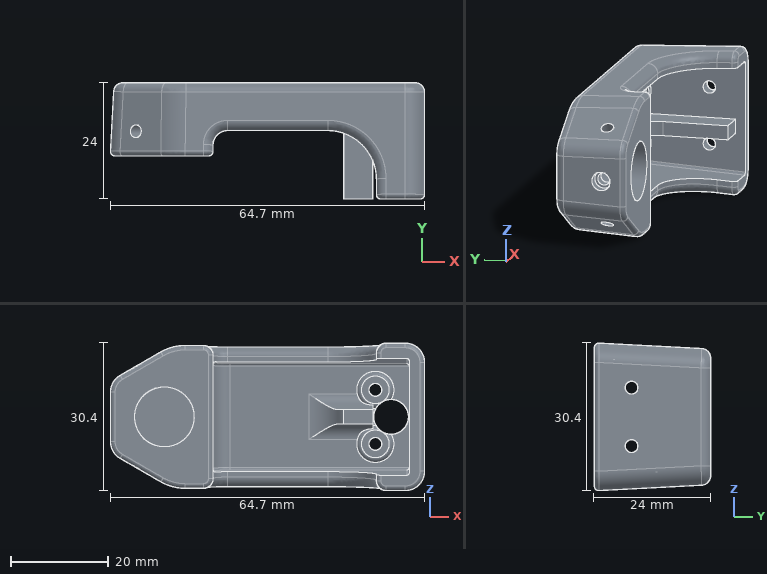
import cadquery as cq
import math

length = 64.7
depth = 24.0
height = 30.4
draft = 3.0
draft_slope = math.tan(math.radians(draft))
front_fillet = 1.0
front_half_height = height / 2 + front_fillet * draft_slope

block_front = 8.9
block_end = 21.15
nose_half_flat = 7.7
nose_angle = 30.0
nose_radius = 4.0
shoulder_radius = 10.05
foot_corner_radius = 4.0

cutout_top = 14.1
block_arc_radius = 3.0
foot_arc_radius = 10.0
foot_start = 54.75

back_wall = 3.05
floor_y = depth - back_wall
side_wall = 3.25
end_wall = 3.2
cavity_end_radius = 3.4

back_fillet = 2.0
cutout_fillet = 2.0
inner_fillet = 0.5

post_left = 48.0
post_right = 54.05
post_half_height = 1.5
post_left_flare = 7.1
post_side_flare = 3.2
post_root_y = (floor_y + depth) / 2

boss_x = 54.55
boss_z = 5.55
boss_radius = 2.85
boss_height = 1.95
boss_fillet = 1.0
screw_radius = 1.3
opening_x = 57.8
opening_radius = 3.55

end_hole_y = 7.7
end_hole_z = 6.0

bore_x = 11.15
bore_radius = 6.15
radial_hole_y = 14.0
nose_recess_radius = 1.95
nose_recess_depth = 2.6

overshoot = 6.5


def xz_plane(y):
    """Sketch plane at the given Y whose normal points to the back."""
    return cq.Workplane(cq.Plane(origin=(0, y, 0), xDir=(1, 0, 0), normal=(0, 1, 0)))


def y_cylinder(x, z, radius, y_start, y_end):
    return cq.Workplane(cq.Solid.makeCylinder(
        radius, y_end - y_start, cq.Vector(x, y_start, z), cq.Vector(0, 1, 0)))


def make_outer_body():
    """Drafted solid with a tapered nose, a square foot end and rounded upright corners."""
    nose_x = -(block_front + front_fillet) * draft_slope
    rise = front_half_height - nose_half_flat
    shoulder_x = nose_x + rise / math.tan(math.radians(nose_angle))
    right = length + overshoot
    outline = [
        (nose_x, -nose_half_flat), (shoulder_x, -front_half_height), (right, -front_half_height),
        (right, front_half_height), (shoulder_x, front_half_height), (nose_x, nose_half_flat),
    ]
    body = xz_plane(0).polyline(outline).close().extrude(depth, taper=draft)
    keep = cq.Workplane("XY").box(length + overshoot, 3 * depth, 3 * depth).translate(
        ((length - overshoot) / 2, 0, 0))
    body = body.intersect(keep)

    def upright(x_min, x_max):
        size = 4 * depth
        return cq.selectors.BoxSelector((x_min, depth / 4, -size), (x_max, 3 * depth / 4, size))

    body = body.edges(upright(nose_x - 0.65, shoulder_x / 2)).fillet(nose_radius)
    body = body.edges(upright(shoulder_x - 1.3, shoulder_x + 1.3)).fillet(shoulder_radius)
    return body.edges(upright(length - 0.65, length + 0.65)).fillet(foot_corner_radius)


def make_cutout():
    """Side opening through both walls, with a small arc at the block and a large one at the foot."""
    half_width = 2 * depth
    diag = math.sqrt(0.5)
    block_arc_x = block_end + block_arc_radius
    block_arc_y = cutout_top - block_arc_radius
    foot_arc_x = foot_start - foot_arc_radius
    foot_arc_y = cutout_top - foot_arc_radius
    return (
        cq.Workplane("XY", origin=(0, 0, -half_width))
        .moveTo(-overshoot, -overshoot)
        .lineTo(-overshoot, block_front)
        .lineTo(block_end, block_front)
        .lineTo(block_end, block_arc_y)
        .threePointArc(
            (block_arc_x - block_arc_radius * diag, block_arc_y + block_arc_radius * diag),
            (block_arc_x, cutout_top))
        .lineTo(foot_arc_x, cutout_top)
        .threePointArc(
            (foot_arc_x + foot_arc_radius * diag, foot_arc_y + foot_arc_radius * diag),
            (foot_start, foot_arc_y))
        .lineTo(foot_start, -overshoot)
        .close()
        .extrude(2 * half_width)
    )


def make_cavity():
    """Pocket between block and end wall: drafted sides, upright ends, rounded inside corners."""
    half = front_half_height - side_wall
    left = block_end
    right = length - end_wall
    pocket = xz_plane(0).rect(4 * length, 2 * half).extrude(floor_y, taper=draft)
    limit = cq.Workplane("XY").box(right - left, 3 * depth, 3 * depth).translate(((left + right) / 2, 0, 0))
    pocket = pocket.intersect(limit)
    pocket = pocket.edges(cq.selectors.BoxSelector(
        (left - 0.65, floor_y - 0.65, -0.65), (left + 0.65, floor_y + 0.65, 0.65))).fillet(cavity_end_radius)
    return pocket.edges("(not <Y) and (not |Z)").edges("not(#Y and |X and <Y)").fillet(inner_fillet)


def round_outside(body):
    """Round the cut-out's outer edges, the back rim and the front faces."""
    for side in (-1, 1):
        z_range = sorted((side * (front_half_height - 1.3), side * (front_half_height + 0.65)))
        selector = cq.selectors.BoxSelector(
            (block_end - 0.3, front_fillet, z_range[0]), (foot_start + 0.3, cutout_top + 0.3, z_range[1]))
        body = body.edges(selector).fillet(cutout_fillet)
    body = body.faces(">Y").edges().fillet(back_fillet)
    block_face = cq.selectors.BoxSelector((0, block_front - 0.05, -depth), (block_end, block_front + 0.05, depth))
    body = body.faces(block_face).edges().fillet(front_fillet)
    return body.faces("<Y").edges().fillet(front_fillet)


def make_post():
    """Bar with concave flares to the floor on its -X side and on both Z sides."""
    flare_left = post_left - post_left_flare
    flare_half = post_half_height + post_side_flare
    side_profile = (
        cq.Workplane("XY", origin=(0, 0, -flare_half))
        .moveTo(post_left, 0)
        .lineTo(post_left, floor_y - post_left_flare)
        .radiusArc((flare_left, floor_y), -post_left_flare)
        .lineTo(flare_left, post_root_y)
        .lineTo(post_right, post_root_y)
        .lineTo(post_right, 0)
        .close()
        .extrude(2 * flare_half)
    )
    end_profile = (
        cq.Workplane("YZ", origin=(flare_left, 0, 0))
        .moveTo(0, -post_half_height)
        .lineTo(0, post_half_height)
        .lineTo(floor_y - post_side_flare, post_half_height)
        .radiusArc((floor_y, flare_half), -post_side_flare)
        .lineTo(post_root_y, flare_half)
        .lineTo(post_root_y, -flare_half)
        .lineTo(floor_y, -flare_half)
        .radiusArc((floor_y - post_side_flare, -post_half_height), -post_side_flare)
        .close()
        .extrude(post_right - flare_left)
    )
    return side_profile.intersect(end_profile)


def make_flared_boss(z):
    """Screw boss with a concave round from its side down to the floor."""
    boss_top = floor_y - boss_height
    base_radius = boss_radius + boss_fillet
    return (
        cq.Workplane("XY")
        .moveTo(0, boss_top)
        .lineTo(boss_radius, boss_top)
        .lineTo(boss_radius, floor_y - boss_fillet)
        .radiusArc((base_radius, floor_y), -boss_fillet)
        .lineTo(base_radius, post_root_y)
        .lineTo(0, post_root_y)
        .close()
        .revolve(360, (0, 0, 0), (0, 1, 0))
        .translate((boss_x, 0, z))
    )


def cut_round_holes(body):
    """Through holes: screw holes, the opening beside them and the holes in the end wall."""
    body = body.cut(y_cylinder(opening_x, 0, opening_radius, floor_y - 2 * boss_height, depth + 0.65))
    for side in (-1, 1):
        body = body.cut(y_cylinder(boss_x, side * boss_z, screw_radius, floor_y - 2 * boss_height, depth + 0.65))
        body = body.cut(cq.Workplane(cq.Solid.makeCylinder(
            screw_radius, 2 * end_wall, cq.Vector(length - 1.5 * end_wall, end_hole_y, side * end_hole_z),
            cq.Vector(1, 0, 0))))
    return body


def cut_bore(body):
    """Blind bore with three radial holes into it; the one in the nose is counterbored."""
    body = body.cut(y_cylinder(bore_x, 0, bore_radius, 0, floor_y))
    start = cq.Vector(bore_x, radial_hole_y, 0)
    for angle in (90 + nose_angle, 180, 270 - nose_angle):
        direction = cq.Vector(math.cos(math.radians(angle)), 0, math.sin(math.radians(angle)))
        body = body.cut(cq.Workplane(cq.Solid.makeCylinder(screw_radius, 2 * bore_x, start, direction)))
    recess = cq.Workplane(cq.Solid.makeCylinder(
        nose_recess_radius, nose_recess_depth + overshoot, cq.Vector(-overshoot, radial_hole_y, 0),
        cq.Vector(1, 0, 0)))
    return body.cut(recess)


result = round_outside(make_outer_body().cut(make_cutout()))
result = cut_bore(result.cut(make_cavity()))
result = result.union(make_post())
for boss_side in (-1, 1):
    result = result.union(make_flared_boss(boss_side * boss_z))
result = cut_round_holes(result)